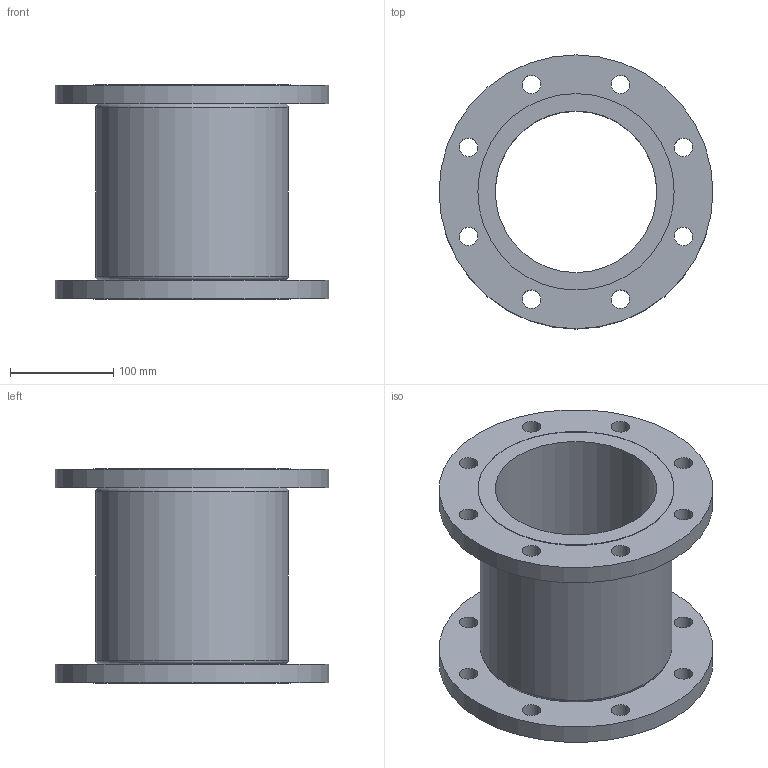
import cadquery as cq

length = 208.0

flange_diameter = 265.0
flange_thickness = 18.0
raised_face_diameter = 190.0
raised_face_height = 0.6

pipe_diameter = 186.3
pipe_wall = 15.0
pipe_end_round = 3.7

bolt_count = 8
bolt_hole_diameter = 18.0
bolt_circle_diameter = 225.0

end_z = length / 2
flange_outer_z = end_z - raised_face_height
flange_inner_z = flange_outer_z - flange_thickness
pipe_straight_z = flange_inner_z - pipe_end_round
flange_radius = flange_diameter / 2
raised_face_radius = raised_face_diameter / 2
pipe_radius = pipe_diameter / 2
bore_radius = pipe_radius - pipe_wall
pipe_end_radius = pipe_radius - pipe_end_round


def make_body():
    """Revolve the half section of the flanged pipe about Z."""
    return (
        cq.Workplane("XZ")
        .moveTo(bore_radius, -end_z)
        .lineTo(raised_face_radius, -end_z)
        .lineTo(raised_face_radius, -flange_outer_z)
        .lineTo(flange_radius, -flange_outer_z)
        .lineTo(flange_radius, -flange_inner_z)
        .lineTo(pipe_end_radius, -flange_inner_z)
        .radiusArc((pipe_radius, -pipe_straight_z), -pipe_end_round)
        .lineTo(pipe_radius, pipe_straight_z)
        .radiusArc((pipe_end_radius, flange_inner_z), -pipe_end_round)
        .lineTo(flange_radius, flange_inner_z)
        .lineTo(flange_radius, flange_outer_z)
        .lineTo(raised_face_radius, flange_outer_z)
        .lineTo(raised_face_radius, end_z)
        .lineTo(bore_radius, end_z)
        .close()
        .revolve(360, (0, 0, 0), (0, 1, 0))
    )


def make_bolt_holes():
    """Cylinders running the full length; they pass clear outside the pipe."""
    half_pitch = 180 / bolt_count
    return (
        cq.Workplane("XY")
        .workplane(offset=-end_z)
        .polarArray(bolt_circle_diameter / 2, half_pitch, 360, bolt_count)
        .circle(bolt_hole_diameter / 2)
        .extrude(length)
    )


result = make_body().cut(make_bolt_holes())